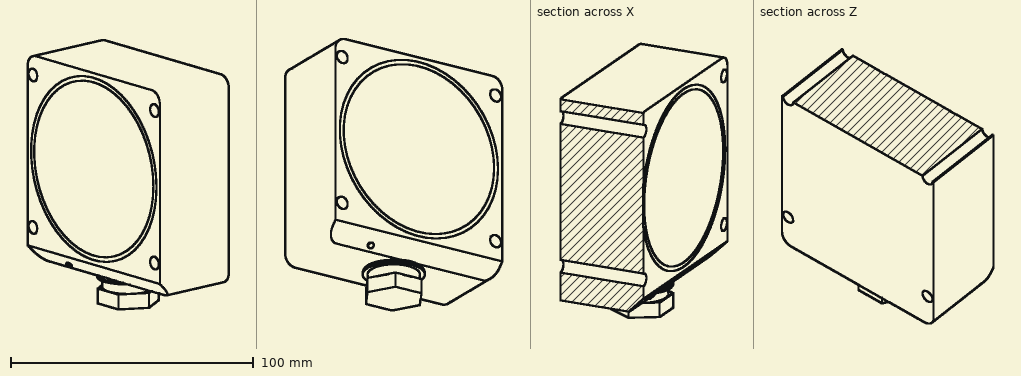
import cadquery as cq
import math

overall_height = 101.1
width = 82.1
depth = 38.1
gland_length = 12.2
corner_radius = 5.1
bevel = 7.1
housing_height = overall_height - gland_length
top_z = overall_height / 2
housing_bottom = top_z - housing_height
front_y = -depth / 2

hole_diameter = 5.4
hole_spacing_x = 75.4
hole_spacing_z = 65.1
hole_top_offset = 8.4

ring_outer_radius = 38.9
ring_inner_radius = 37.0
ring_depth = 0.1
ring_top_offset = 40.9

lamp_diameter = 2.5
lamp_height = 0.6
lamp_x = -20.6
lamp_bevel_offset = 5.0
lamp_embed = 1.0

collar_radius = 12.8
collar_drop = 1.4
collar_rim_height = 0.8
collar_cone_angle = 30
collar_embed = 2.0
neck_radius = 10.8
nut_height = 6.4
nut_flats = 22.2


def front_plane(z):
    """Workplane on the front face, with its normal pointing outward."""
    return cq.Workplane("XZ", origin=(0, front_y, z))


def make_housing():
    body = (
        cq.Workplane("XY")
        .box(width, depth, housing_height)
        .translate((0, 0, top_z - housing_height / 2))
        .edges("|Y")
        .fillet(corner_radius)
    )
    bevel_cut = (
        cq.Workplane("YZ")
        .moveTo(front_y, housing_bottom)
        .lineTo(front_y + bevel, housing_bottom)
        .lineTo(front_y, housing_bottom + bevel)
        .close()
        .extrude(width / 2, both=True)
    )
    return body.cut(bevel_cut)


def make_mounting_holes():
    centre_z = top_z - hole_top_offset - hole_spacing_z / 2
    return (
        front_plane(centre_z)
        .rarray(hole_spacing_x, hole_spacing_z, 2, 2)
        .circle(hole_diameter / 2)
        .extrude(-depth)
    )


def make_ring_groove():
    return (
        front_plane(top_z - ring_top_offset)
        .circle(ring_outer_radius)
        .circle(ring_inner_radius)
        .extrude(-ring_depth)
    )


def make_lamp():
    centre = (lamp_x, front_y + lamp_bevel_offset, housing_bottom + bevel - lamp_bevel_offset)
    bevel_plane = cq.Plane(origin=centre, xDir=(1, 0, 0), normal=(0, -1, -1))
    return (
        cq.Workplane(bevel_plane)
        .workplane(offset=-lamp_embed)
        .circle(lamp_diameter / 2)
        .extrude(lamp_embed + lamp_height)
    )


def make_gland():
    collar_bottom = housing_bottom - collar_drop
    rim_top = collar_bottom + collar_rim_height
    collar_top = housing_bottom + collar_embed
    cone_inset = (collar_top - rim_top) * math.tan(math.radians(collar_cone_angle))
    nut_bottom = -top_z
    nut_top = nut_bottom + nut_height

    turned = (
        cq.Workplane("XZ")
        .moveTo(0, nut_top)
        .lineTo(neck_radius, nut_top)
        .lineTo(neck_radius, collar_bottom)
        .lineTo(collar_radius, collar_bottom)
        .lineTo(collar_radius, rim_top)
        .lineTo(collar_radius - cone_inset, collar_top)
        .lineTo(0, collar_top)
        .close()
        .revolve(360, (0, 0, 0), (0, 1, 0))
    )
    nut_corner_diameter = nut_flats / math.cos(math.pi / 6)
    nut = (
        cq.Workplane("XY", origin=(0, 0, nut_bottom))
        .polygon(6, nut_corner_diameter)
        .extrude(nut_height)
    )
    return turned.union(nut)


result = (
    make_housing()
    .cut(make_mounting_holes())
    .cut(make_ring_groove())
    .union(make_lamp())
    .union(make_gland())
)